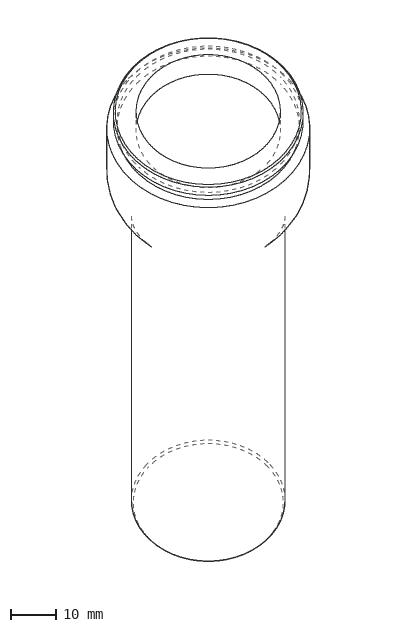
import cadquery as cq
import math

total_height = 140.1
lip_height = 3.4
groove_height = 2.5
head_height = 15.1

tube_diameter = 34.0
head_diameter = 45.0
groove_diameter = 40.3
lip_diameter = 42.0
pocket_diameter = 32.0

transition_arc_radius = 12.6
cone_angle = math.radians(30)

pocket_depth = 7.0
lip_chamfer = 0.4
foot_chamfer_width = 0.4
foot_chamfer_height = 0.7

tube_radius = tube_diameter / 2
head_radius = head_diameter / 2
groove_radius = groove_diameter / 2
lip_radius = lip_diameter / 2

lip_bottom = total_height - lip_height
head_top = lip_bottom - groove_height
head_bottom = head_top - head_height


def arc_offset(angle):
    """Radial and vertical travel along a transition arc from its vertical tangent."""
    radial = transition_arc_radius * (1 - math.cos(angle))
    vertical = transition_arc_radius * math.sin(angle)
    return radial, vertical


arc_radial, arc_vertical = arc_offset(cone_angle)
mid_radial, mid_vertical = arc_offset(cone_angle / 2)
cone_radial = head_radius - tube_radius - 2 * arc_radial
cone_vertical = cone_radial / math.tan(cone_angle)
cone_top = head_bottom - arc_vertical
cone_bottom = cone_top - cone_vertical
tube_top = cone_bottom - arc_vertical


def make_body():
    """Revolve the half section of the tube, flared head, groove and lip about Z."""
    return (
        cq.Workplane("XZ")
        .moveTo(0, 0)
        .lineTo(tube_radius - foot_chamfer_width, 0)
        .lineTo(tube_radius, foot_chamfer_height)
        .lineTo(tube_radius, tube_top)
        .threePointArc(
            (tube_radius + mid_radial, tube_top + mid_vertical),
            (tube_radius + arc_radial, cone_bottom),
        )
        .lineTo(head_radius - arc_radial, cone_top)
        .threePointArc(
            (head_radius - mid_radial, head_bottom - mid_vertical),
            (head_radius, head_bottom),
        )
        .lineTo(head_radius, head_top)
        .lineTo(groove_radius, head_top)
        .lineTo(groove_radius, lip_bottom)
        .lineTo(lip_radius, lip_bottom)
        .lineTo(lip_radius, total_height - lip_chamfer)
        .lineTo(lip_radius - lip_chamfer, total_height)
        .lineTo(0, total_height)
        .close()
        .revolve(360, (0, 0, 0), (0, 1, 0))
    )


def make_pocket():
    """Round blind recess in the top face."""
    return (
        cq.Workplane("XY")
        .workplane(offset=total_height - pocket_depth)
        .circle(pocket_diameter / 2)
        .extrude(pocket_depth)
    )


result = make_body().cut(make_pocket())